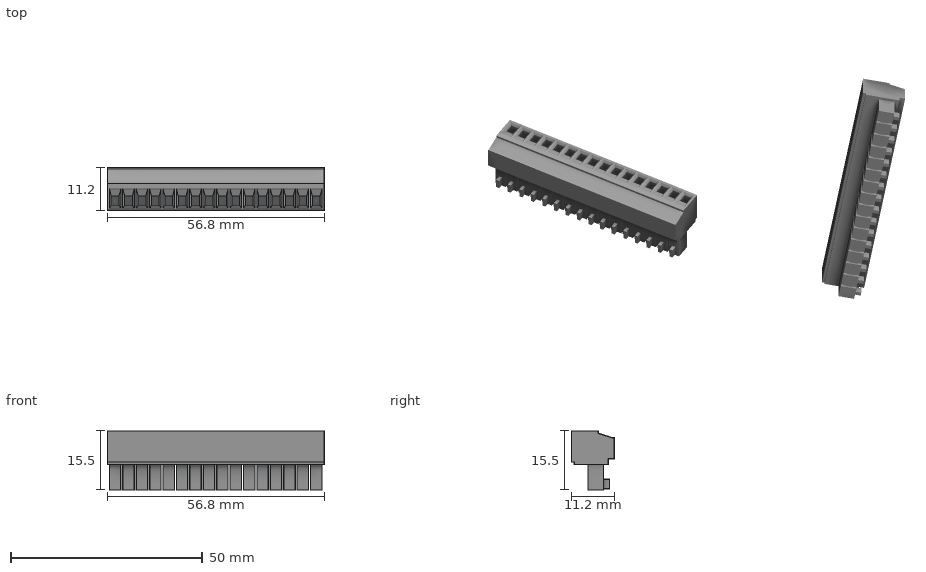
import cadquery as cq


position_count = 16
pitch = 3.505
housing_length = 56.79
first_end_margin = 0.53

housing_depth = 11.18
total_height = 15.49
housing_bottom = 6.65
front_step_depth = 0.69
front_step_top = 7.34
rear_step_depth = 1.55
rear_step_top = 8.19
plateau_depth = 7.0
plateau_drop = 0.6
rear_ledge_depth = 0.5
rear_ledge_top = 13.7

funnel_width = 3.05
funnel_front = 0.68
funnel_back = 5.63
funnel_height = 0.51
well_width = 2.03
well_front = 1.2
well_back = 3.78
well_depth = 4.0

pin_width = 3.05
pin_front = 4.29
pin_back = 8.42

key_width = 0.9
key_reach = 1.55
key_bottom = 0.34
key_top = 2.9

first_position = -housing_length / 2 + first_end_margin + pin_width / 2
position_centres = [first_position + index * pitch for index in range(position_count)]


def block(center_x, width, y_range, z_range):
    """Box centred on center_x, spanning the given Y and Z ranges."""
    return (
        cq.Workplane("XY")
        .box(width, y_range[1] - y_range[0], z_range[1] - z_range[0], centered=(True, False, False))
        .translate((center_x, y_range[0], z_range[0]))
    )


def make_housing():
    """Extrude the stepped cross-section along the full length."""
    rear_step_y = housing_depth - rear_step_depth
    cross_section = [
        (front_step_depth, housing_bottom),
        (rear_step_y, housing_bottom),
        (rear_step_y, rear_step_top),
        (housing_depth, rear_step_top),
        (housing_depth, rear_ledge_top),
        (housing_depth - rear_ledge_depth, rear_ledge_top),
        (plateau_depth, total_height - plateau_drop),
        (plateau_depth, total_height),
        (0, total_height),
        (0, front_step_top),
        (front_step_depth, front_step_top),
    ]
    return cq.Workplane("YZ").polyline(cross_section).close().extrude(housing_length / 2, both=True)


def make_wire_opening(center_x):
    """Tapered funnel narrowing to a straight-sided blind well."""
    funnel_bottom = total_height - funnel_height
    funnel_middle = (funnel_front + funnel_back) / 2
    well_middle = (well_front + well_back) / 2
    funnel = (
        cq.Workplane("XY", origin=(center_x, funnel_middle, total_height))
        .rect(funnel_width, funnel_back - funnel_front)
        .workplane(offset=-funnel_height)
        .center(0, well_middle - funnel_middle)
        .rect(well_width, well_back - well_front)
        .loft(ruled=True)
    )
    well = block(center_x, well_width, (well_front, well_back), (funnel_bottom - well_depth, funnel_bottom))
    return funnel.union(well)


def make_pin(center_x):
    """Rectangular pin with a narrow key on its back face."""
    pin = block(center_x, pin_width, (pin_front, pin_back), (0, housing_bottom))
    key = block(center_x, key_width, (pin_back, pin_back + key_reach), (key_bottom, key_top))
    return pin.union(key)


result = make_housing()
for position in position_centres:
    result = result.cut(make_wire_opening(position))
    result = result.union(make_pin(position))